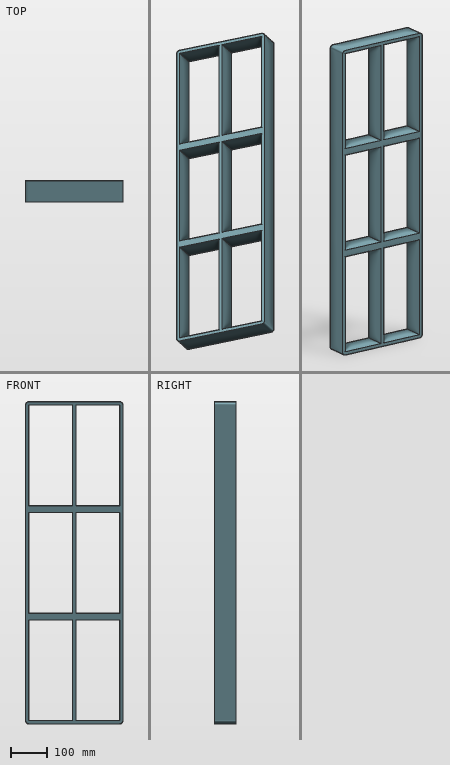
import cadquery as cq

height = 894.0
width = 271.0
depth = 60.0
corner_radius = 10.0

wall = 10.0
mullion = 10.0
crossbar = 20.0
columns = 2
rows = 3

opening_width = (width - 2 * wall - (columns - 1) * mullion) / columns
opening_height = (height - 2 * wall - (rows - 1) * crossbar) / rows


def make_frame():
    """Solid block with its four front-to-back edges rounded."""
    return cq.Workplane("XY").box(width, depth, height).edges("|Y").fillet(corner_radius)


def make_openings():
    """Grid of rectangular openings running right through the depth."""
    return (
        cq.Workplane("XZ")
        .rarray(opening_width + mullion, opening_height + crossbar, columns, rows)
        .rect(opening_width, opening_height)
        .extrude(depth, both=True)
    )


result = make_frame().cut(make_openings())